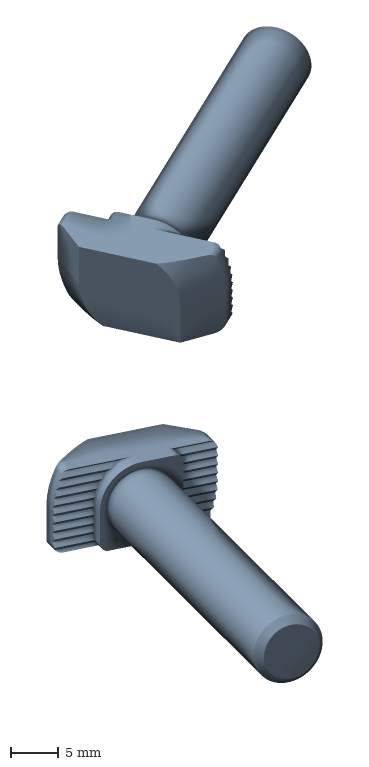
import cadquery as cq

total_length = 45.8
head_length = 19.0
head_width = 9.7
head_height = 5.85
face_length = 11.45
head_corner_radius = 1.0
neck_top = 7.3
neck_corner_radius = 1.0
shank_diameter = 8.0
shank_chamfer = 0.82
serration_pitch = 1.0
serration_depth = serration_pitch / 2

half_length = head_length / 2
half_width = head_width / 2
half_face = face_length / 2
bevel_height = half_length - half_face


def block(length, height):
    """Block of full head width standing on the head face plane, centred on the bolt axis."""
    return cq.Workplane("XY").box(length, height, head_width).translate((0, height / 2, 0))


def quadrant(side_x, side_z, length, height):
    """Quarter of a block of that length, in the XZ quadrant with the given signs (+1 or -1)."""
    return (
        cq.Workplane("XY")
        .box(length / 2, height, half_width)
        .translate((side_x * length / 4, height / 2, side_z * half_width / 2))
    )


def cylinder(radius, height):
    """Cylinder along +Y from the head face."""
    return cq.Workplane("XZ").circle(radius).extrude(-height)


def turning_prism(length, height, corner_radius, fillet_swept_corners):
    """Two opposite square quadrants; the other two are swept about the bolt axis."""
    prism = block(length, height).intersect(cylinder(length / 2, height))
    for side in (-1, 1):
        prism = prism.union(quadrant(side, -side, length, height))
    corners = [
        edge
        for edge in prism.edges("|Y").vals()
        if abs(edge.Center().x) > length / 4
        and abs(edge.Center().z) > half_width / 2
        and (fillet_swept_corners or edge.Center().x * edge.Center().z < 0)
    ]
    return prism.newObject(corners).fillet(corner_radius)


def bevel_envelope():
    """Cone on the swept quadrants, flat 45 degree bevels on the square ones."""
    profile = [
        (0, 0),
        (half_face, 0),
        (half_length, bevel_height),
        (half_length, head_height),
        (0, head_height),
    ]
    envelope = cq.Workplane("XY").polyline(profile).close().revolve(360, (0, 0, 0), (0, 1, 0))
    for side in (-1, 1):
        wedge_profile = [(side * x, y) for x, y in profile]
        wedge = cq.Workplane("XY").polyline(wedge_profile).close().extrude(-side * half_width)
        envelope = envelope.union(wedge)
    return envelope


def serration_cutter():
    """V grooves along X, with a tooth tip centred on the bolt axis."""
    cutter = cq.Workplane("XY")
    groove_count = 2 * round(half_width / serration_pitch)
    for index in range(groove_count):
        centre = (index - (groove_count - 1) / 2) * serration_pitch
        groove = (
            cq.Workplane("YZ")
            .moveTo(head_height, centre - serration_pitch / 2)
            .lineTo(head_height - serration_depth, centre)
            .lineTo(head_height, centre + serration_pitch / 2)
            .close()
            .extrude(half_length, both=True)
        )
        cutter = cutter.add(groove)
    return cutter.combine()


def neck():
    """Square neck with two opposite corners fully rounded for turning in the slot."""
    prism = turning_prism(head_width, neck_top, neck_corner_radius, fillet_swept_corners=False)
    return prism.cut(block(head_length, bevel_height))


head = turning_prism(head_length, head_height, head_corner_radius, fillet_swept_corners=True)
head = head.intersect(bevel_envelope()).cut(serration_cutter())
shank = (
    cq.Workplane("XZ", origin=(0, bevel_height, 0))
    .circle(shank_diameter / 2)
    .extrude(bevel_height - total_length)
    .faces(">Y")
    .chamfer(shank_chamfer)
)
result = head.union(neck()).union(shank)